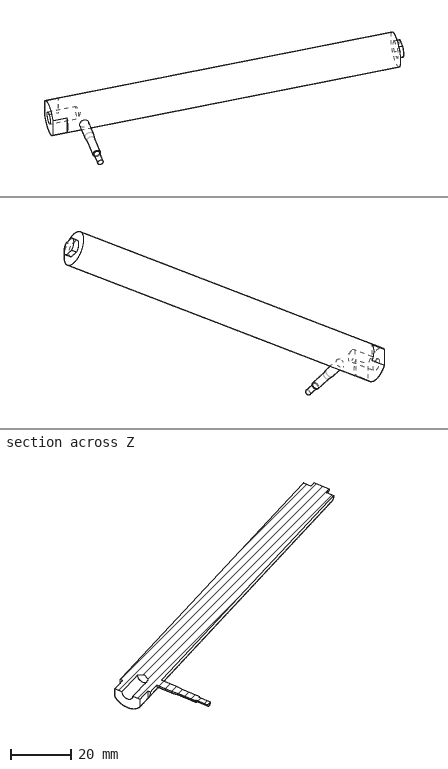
import cadquery as cq

overall_length = 122.0
body_diameter = 12.0
body_radius = body_diameter / 2
stud_length = 2.0
body_length = overall_length - stud_length

flat_width = 10.0
flat_length = 4.9

hole_diameter = 4.1
hole_depth = 9.8
drill_point_depth = 1.2

stud_diameter = 6.0
stud_across_flats = 5.0

cable_y = 10.5
cable_end_x = 31.5 - body_radius
sleeve_radius = 1.6
sleeve_end_x = 12.2
collar_end_x = 14.0
jacket_radius = 1.3
jacket_end_x = 21.0
core_radius = 1.0


def cylinder_along_y(radius, start, length):
    return cq.Workplane("XZ", origin=(0, start, 0)).circle(radius).extrude(-length)


def cable_section(radius, end_x):
    """Round section from the body axis out to end_x."""
    return cq.Workplane("YZ", origin=(0, cable_y, 0)).circle(radius).extrude(end_x)


def flatted_body():
    body = cylinder_along_y(body_radius, 0, body_length)
    flat_depth = body_radius - flat_width / 2
    for side in (-1, 1):
        cutter = cq.Workplane("XY").box(
            flat_depth, flat_length, body_diameter, centered=(True, False, True)
        )
        body = body.cut(cutter.translate((side * (flat_width + flat_depth) / 2, 0, 0)))
    return body


def flatted_stud():
    stud = cylinder_along_y(stud_diameter / 2, body_length, stud_length)
    between_flats = cq.Workplane("XY", origin=(0, body_length, 0)).box(
        stud_diameter, stud_length, stud_across_flats, centered=(True, False, True)
    )
    return stud.intersect(between_flats)


def drilled_hole():
    tip = hole_depth + drill_point_depth
    return (
        cq.Workplane("XY")
        .polyline([(0, 0), (hole_diameter / 2, 0), (hole_diameter / 2, hole_depth), (0, tip)])
        .close()
        .revolve(360, (0, 0, 0), (0, 1, 0))
    )


def cable():
    collar = (
        cq.Workplane("YZ", origin=(sleeve_end_x, cable_y, 0))
        .circle(sleeve_radius)
        .workplane(offset=collar_end_x - sleeve_end_x)
        .circle(jacket_radius)
        .loft(combine=True)
    )
    return (
        cable_section(sleeve_radius, sleeve_end_x)
        .union(collar)
        .union(cable_section(jacket_radius, jacket_end_x))
        .union(cable_section(core_radius, cable_end_x))
    )


result = flatted_body().union(flatted_stud()).union(cable()).cut(drilled_hole())